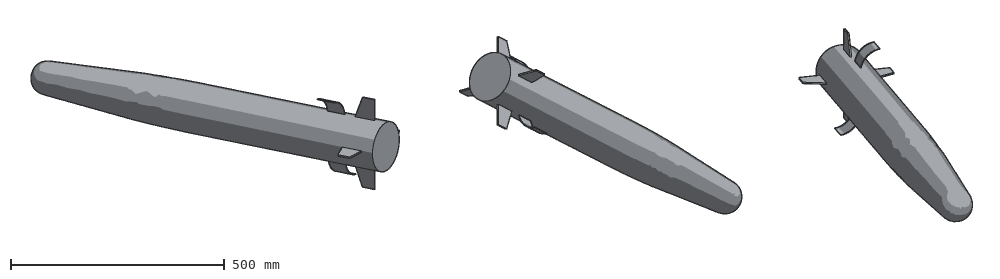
import cadquery as cq
import math

length = 968.0
body_radius = 60.0
nose_shoulder_x = 23.0
nose_shoulder_radius = 38.0
nose_end_x = 56.0
nose_end_radius = 42.0
cone_end_x = 287.0
cone_end_radius = 56.0
body_start_x = 443.0

fin_span = 223.0
fin_thickness = 4.0
fin_root_x = 884.0
fin_tip_x = 904.0
fin_rear_x = 937.0

wing_start_x = 808.0
wing_width = 47.0
wing_thickness = 2.0
wing_reach = 47.0
wing_height = 104.0
wing_bulge = 13.0

embed = 6.0


def make_body():
    """Rounded nose, cone and shallow ogive leading into the cylinder."""
    cone_direction = (cone_end_x - nose_end_x, cone_end_radius - nose_end_radius)
    ogive_mid = (
        (cone_end_x + body_start_x) / 2,
        body_radius - (body_radius - cone_end_radius) / 4,
    )
    return (
        cq.Workplane("XY")
        .moveTo(0, 0)
        .spline(
            [(nose_shoulder_x, nose_shoulder_radius), (nose_end_x, nose_end_radius)],
            tangents=[(0, 1), cone_direction],
            includeCurrent=True,
        )
        .lineTo(cone_end_x, cone_end_radius)
        .threePointArc(ogive_mid, (body_start_x, body_radius))
        .lineTo(length, body_radius)
        .lineTo(length, 0)
        .close()
        .revolve(360, (0, 0, 0), (1, 0, 0))
    )


def make_fin():
    """Upright fin with a swept leading edge."""
    tip_z = fin_span / 2
    root_z = body_radius - embed
    sweep_slope = (fin_tip_x - fin_root_x) / (tip_z - body_radius)
    return (
        cq.Workplane("XZ")
        .polyline([
            (fin_root_x - embed * sweep_slope, root_z),
            (fin_tip_x, tip_z),
            (fin_rear_x, tip_z),
            (fin_rear_x, root_z),
        ])
        .close()
        .extrude(fin_thickness / 2, both=True)
    )


def make_wing():
    """Upper wing curling toward -Y, bulging up and away from its chord."""
    root_z = body_radius - embed
    rise = wing_height - root_z
    chord = math.hypot(wing_reach, rise)
    normal_y = rise / chord
    normal_z = wing_reach / chord

    outer_mid = (
        -wing_reach / 2 + wing_bulge * normal_y,
        root_z + rise / 2 + wing_bulge * normal_z,
    )
    offset_y = wing_thickness * normal_y
    offset_z = wing_thickness * normal_z
    inner_mid = (outer_mid[0] - offset_y, outer_mid[1] - offset_z)
    return (
        cq.Workplane("YZ", origin=(wing_start_x, 0, 0))
        .moveTo(0, root_z)
        .threePointArc(outer_mid, (-wing_reach, wing_height))
        .lineTo(-wing_reach - offset_y, wing_height - offset_z)
        .threePointArc(inner_mid, (-offset_y, root_z - offset_z))
        .close()
        .extrude(wing_width)
    )


def around_axis(shape, angle):
    return shape.rotate((0, 0, 0), (1, 0, 0), angle)


result = make_body()
for fin_angle in (0, 90, 180, 270):
    result = result.union(around_axis(make_fin(), fin_angle))
for wing_angle in (0, 180):
    result = result.union(around_axis(make_wing(), wing_angle))